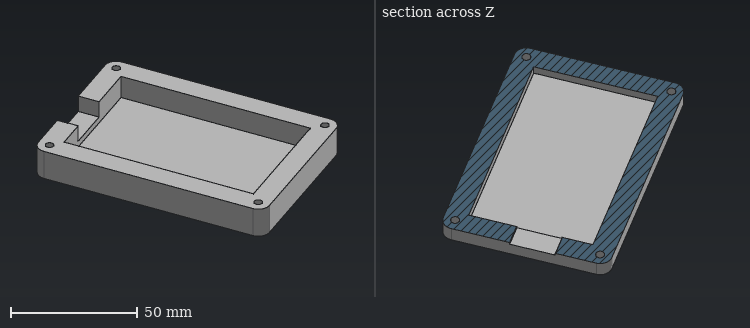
import cadquery as cq

length = 101.8
width = 70.2
height = 13.0
corner_radius = 5.0

hole_diameter = 3.4

pocket_length = 83.3
pocket_width = 51.4
pocket_floor = 3.0

notch_width = 18.8
notch_center_y = -3.6
notch_floor = 5.7

end_wall = (length - pocket_length) / 2


def box_between_floor_and_top(size_x, size_y, floor, center_x, center_y):
    """Cutting box that reaches from a floor level up to the top face."""
    return (
        cq.Workplane("XY", origin=(center_x, center_y, floor))
        .rect(size_x, size_y)
        .extrude(height - floor)
    )


block = (
    cq.Workplane("XY")
    .rect(length, width)
    .extrude(height)
    .edges("|Z")
    .fillet(corner_radius)
)

pocket = box_between_floor_and_top(pocket_length, pocket_width, pocket_floor, 0, 0)

notch = box_between_floor_and_top(
    end_wall, notch_width, notch_floor, (end_wall - length) / 2, notch_center_y
)

screw_holes = (
    cq.Workplane("XY")
    .rect(length - 2 * corner_radius, width - 2 * corner_radius, forConstruction=True)
    .vertices()
    .circle(hole_diameter / 2)
    .extrude(height)
)

result = block.cut(pocket).cut(notch).cut(screw_holes)